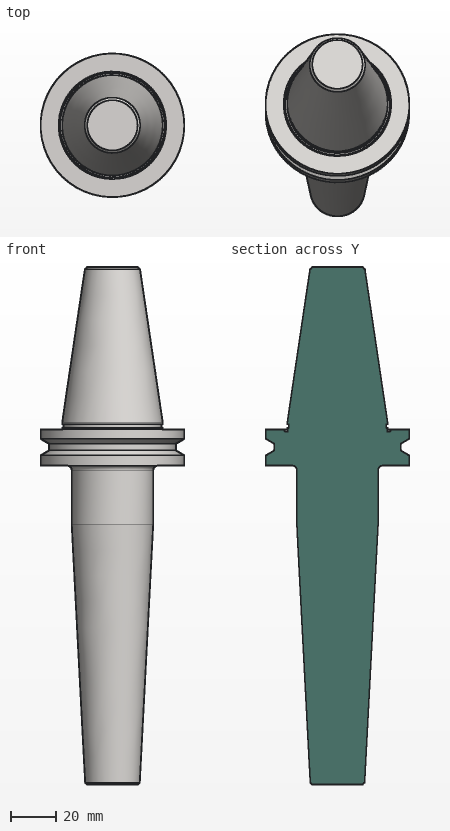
import cadquery as cq
import math

total_length = 228.5

gauge_height = 159.9
gauge_radius = 22.22
taper_ratio = 7 / 24
taper_top_chamfer = 1.1

collar_radius = 22.2
relief_depth = 0.5
relief_top_drop = 1.0
relief_bottom_drop = 2.5

recess_radius = 23.8
recess_floor_radius = 23.0
recess_depth = 1.0

flange_radius = 31.7
flange_top = 156.7
flange_bottom = 140.7
groove_center = 149.0
groove_floor_radius = 28.0
groove_floor_width = 3.0
groove_flank_angle = 30.0

shank_radius = 18.0
shank_bottom = 114.9
shank_fillet = 2.0
nose_radius = 12.0
nose_chamfer = 1.0

taper_top_radius = gauge_radius - (total_length - gauge_height) * taper_ratio / 2
groove_floor_half = groove_floor_width / 2
groove_mouth_half = groove_floor_half + (
    (flange_radius - groove_floor_radius) * math.tan(math.radians(groove_flank_angle))
)
relief_radius = collar_radius - relief_depth

profile = (
    cq.Workplane("XZ")
    .moveTo(0, 0)
    .lineTo(nose_radius - nose_chamfer, 0)
    .lineTo(nose_radius, nose_chamfer)
    .lineTo(shank_radius, shank_bottom)
    .lineTo(shank_radius, flange_bottom - shank_fillet)
    .radiusArc((shank_radius + shank_fillet, flange_bottom), shank_fillet)
    .lineTo(flange_radius, flange_bottom)
    .lineTo(flange_radius, groove_center - groove_mouth_half)
    .lineTo(groove_floor_radius, groove_center - groove_floor_half)
    .lineTo(groove_floor_radius, groove_center + groove_floor_half)
    .lineTo(flange_radius, groove_center + groove_mouth_half)
    .lineTo(flange_radius, flange_top)
    .lineTo(recess_radius, flange_top)
    .lineTo(recess_floor_radius, flange_top - recess_depth)
    .lineTo(collar_radius, flange_top - recess_depth)
    .lineTo(collar_radius, gauge_height - relief_bottom_drop)
    .lineTo(relief_radius, gauge_height - relief_bottom_drop)
    .lineTo(relief_radius, gauge_height - relief_top_drop)
    .lineTo(gauge_radius, gauge_height - relief_top_drop)
    .lineTo(gauge_radius, gauge_height)
    .lineTo(taper_top_radius, total_length - taper_top_chamfer)
    .lineTo(taper_top_radius - taper_top_chamfer, total_length)
    .lineTo(0, total_length)
    .close()
)
result = profile.revolve(360, (0, 0, 0), (0, 1, 0))